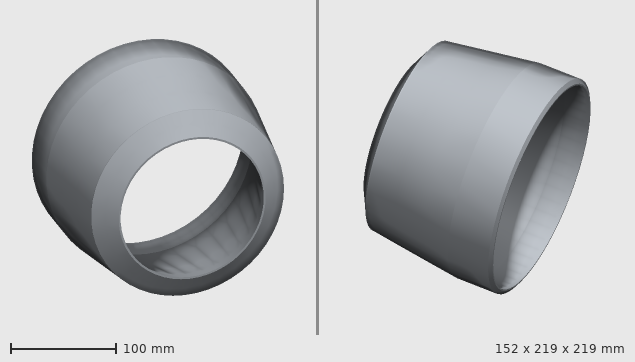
import cadquery as cq
import math

length = 152.0
wide_diameter = 219.0
wide_bore_diameter = 207.3
narrow_diameter = 193.7
narrow_bore_diameter = 143.7
straight_length = 45.1
bore_straight_length = 26.7
narrow_land_length = 1.0
bevel_angle = 30.0
wide_root_face = 1.5
narrow_root_face = 2.0

wide_radius = wide_diameter / 2
wide_bore_radius = wide_bore_diameter / 2
narrow_radius = narrow_diameter / 2
narrow_bore_radius = narrow_bore_diameter / 2
wide_root_radius = wide_bore_radius + wide_root_face
narrow_root_radius = narrow_bore_radius + narrow_root_face

bevel_slope = math.tan(math.radians(bevel_angle))
wide_bevel_length = (wide_radius - wide_root_radius) * bevel_slope
narrow_bevel_start = length - (narrow_radius - narrow_root_radius) * bevel_slope

wall_section = (
    cq.Workplane("XY")
    .moveTo(0, wide_bore_radius)
    .lineTo(0, wide_root_radius)
    .lineTo(wide_bevel_length, wide_radius)
    .lineTo(straight_length, wide_radius)
    .lineTo(narrow_bevel_start - narrow_land_length, narrow_radius)
    .lineTo(narrow_bevel_start, narrow_radius)
    .lineTo(length, narrow_root_radius)
    .lineTo(length, narrow_bore_radius)
    .lineTo(bore_straight_length, wide_bore_radius)
    .close()
)

result = wall_section.revolve(360, (0, 0, 0), (1, 0, 0))